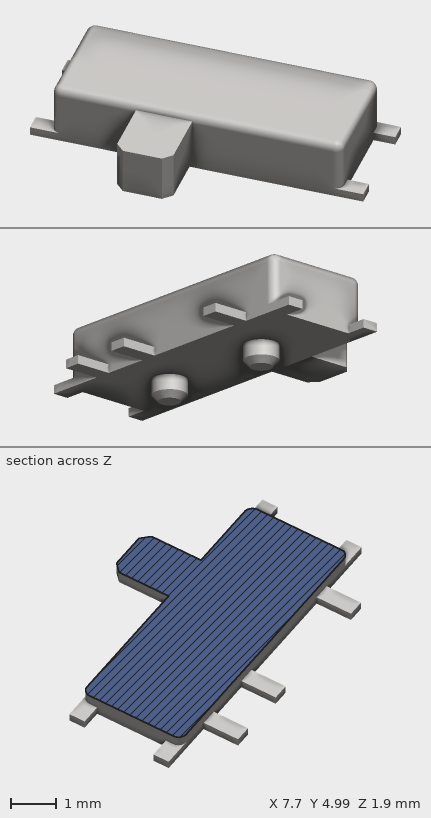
import cadquery as cq

body_length = 6.7
body_depth = 2.6
body_height = 1.4
edge_radius = 0.2

lead_thickness = 0.2
lead_width = 0.4
overall_length = 7.7
pin_reach = 0.9
pin_pitch = 1.5
pin_positions = (-1.5 * pin_pitch, 0.5 * pin_pitch, 1.5 * pin_pitch)

knob_width = 1.3
knob_height = 1.1
knob_reach = 1.49
knob_bottom = 0.15
knob_chamfer = 0.2
knob_x = -pin_pitch / 2

peg_diameter = 0.8
peg_length = 0.5
peg_chamfer = 0.15
peg_spacing = 2 * pin_pitch

front_y = -body_depth / 2
back_y = body_depth / 2


def block(x_min, x_max, y_min, y_max, z_min, height):
    """Rectangular block given by its limits in X and Y."""
    return cq.Workplane("XY").box(
        x_max - x_min, y_max - y_min, height, centered=False
    ).translate((x_min, y_min, z_min))


def make_housing():
    housing = cq.Workplane("XY").box(body_length, body_depth, body_height, centered=(True, True, False))
    return housing.edges("|Z or >Z").fillet(edge_radius)


def make_corner_tab(side, y_min):
    """Mounting tab at one end, rooted inside the rounded housing corner."""
    root_x = side * (body_length / 2 - edge_radius)
    tip_x = side * overall_length / 2
    return block(min(root_x, tip_x), max(root_x, tip_x), y_min, y_min + lead_width, 0, lead_thickness)


def make_pin(x):
    """Contact pin projecting from the back face."""
    half_width = lead_width / 2
    return block(x - half_width, x + half_width, 0, back_y + pin_reach, 0, lead_thickness)


def make_knob():
    half_width = knob_width / 2
    knob = block(knob_x - half_width, knob_x + half_width, front_y - knob_reach, 0, knob_bottom, knob_height)
    return knob.faces("<Y").edges("|Z").chamfer(knob_chamfer)


def make_peg(x):
    peg = cq.Workplane("XY").circle(peg_diameter / 2).extrude(-peg_length)
    return peg.faces("<Z").chamfer(peg_chamfer).translate((x, 0, 0))


result = make_housing().union(make_knob())
for side in (-1, 1):
    for tab_y in (front_y, back_y - lead_width):
        result = result.union(make_corner_tab(side, tab_y))
    result = result.union(make_peg(side * peg_spacing / 2))
for pin_x in pin_positions:
    result = result.union(make_pin(pin_x))